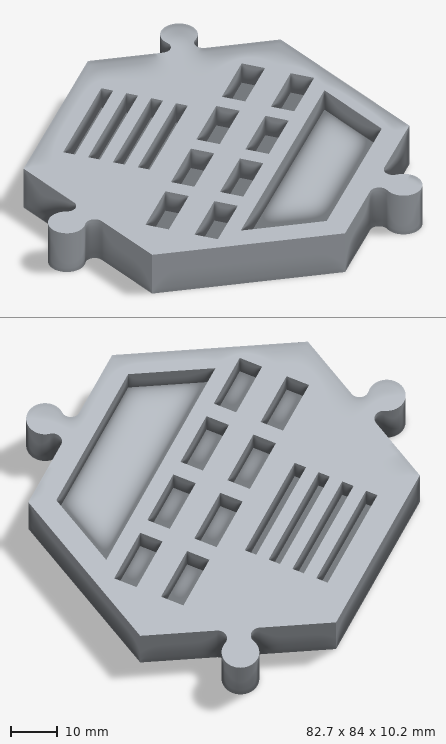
import cadquery as cq
import math

corner_radius = 42.0
flat_distance = corner_radius * math.cos(math.pi / 6)
thickness = 10.2

recess_depth = thickness / 2
floor_height = thickness - recess_depth

knob_radius = 4.0
knob_center = 42.3
neck_fillet = 2.0
knob_angles = (0, 120, 240)

rim_width = 5.2
pocket_inner_x = 14.95

window_width = 5.3
window_length = 13.0
window_columns = 2
window_rows = 4
window_pitch_x = 11.1
window_pitch_y = 16.6
window_grid_center = (3.2, -0.5)

slot_width = 2.7
slot_length = 24.95
slot_count = 4
slot_pitch = 5.6
slot_row_center = (-20.6, 0)


def make_plate():
    corners = []
    for index in range(6):
        angle = math.radians(90 + 60 * index)
        corners.append((corner_radius * math.cos(angle), corner_radius * math.sin(angle)))
    return cq.Workplane("XY").polyline(corners).close().extrude(thickness)


def make_knob():
    """Knob on the +X side, blended by arcs tangent to the head and the plate side."""
    fillet_x = flat_distance + neck_fillet
    center_gap = knob_radius + neck_fillet
    fillet_y = math.sqrt(center_gap**2 - (knob_center - fillet_x) ** 2)
    head_share = knob_radius / center_gap
    tangent_x = knob_center + (fillet_x - knob_center) * head_share
    tangent_y = fillet_y * head_share
    root_x = flat_distance - neck_fillet
    return (
        cq.Workplane("XY")
        .moveTo(root_x, -fillet_y)
        .lineTo(flat_distance, -fillet_y)
        .radiusArc((tangent_x, -tangent_y), neck_fillet)
        .threePointArc((knob_center + knob_radius, 0), (tangent_x, tangent_y))
        .radiusArc((flat_distance, fillet_y), neck_fillet)
        .lineTo(root_x, fillet_y)
        .close()
        .extrude(thickness)
    )


def make_pocket():
    outer_x = flat_distance - rim_width
    slope = math.tan(math.pi / 6)
    rim_corner_y = outer_x / math.cos(math.pi / 6)
    outer_y = rim_corner_y - outer_x * slope
    inner_y = rim_corner_y - pocket_inner_x * slope
    return (
        cq.Workplane("XY", origin=(0, 0, floor_height))
        .moveTo(pocket_inner_x, -inner_y)
        .lineTo(outer_x, -outer_y)
        .lineTo(outer_x, outer_y)
        .lineTo(pocket_inner_x, inner_y)
        .close()
        .extrude(recess_depth)
    )


def make_windows():
    return (
        cq.Workplane("XY", origin=(0, 0, floor_height))
        .center(*window_grid_center)
        .rarray(window_pitch_x, window_pitch_y, window_columns, window_rows)
        .rect(window_width, window_length)
        .extrude(recess_depth)
    )


def make_slots():
    return (
        cq.Workplane("XY", origin=(0, 0, floor_height))
        .center(*slot_row_center)
        .rarray(slot_pitch, slot_length, slot_count, 1)
        .rect(slot_width, slot_length)
        .extrude(recess_depth)
    )


result = make_plate()
for knob_angle in knob_angles:
    knob = make_knob().rotate((0, 0, 0), (0, 0, 1), knob_angle)
    result = result.union(knob)
result = result.cut(make_pocket()).cut(make_windows()).cut(make_slots())